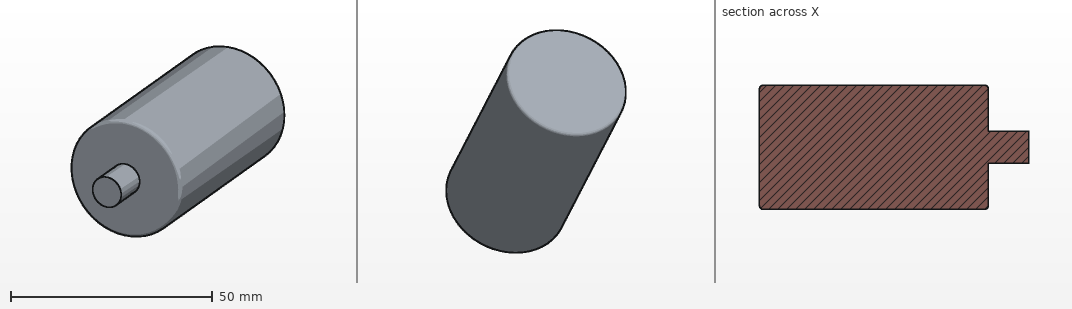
import cadquery as cq

body_diameter = 31.0
body_length = 57.0
edge_radius = 1.0
stud_diameter = 8.0
stud_length = 10.0


def make_body():
    """Cylinder from y = 0 to y = body_length with both rims rounded."""
    cylinder = cq.Workplane("XZ").circle(body_diameter / 2).extrude(-body_length)
    return cylinder.faces("<Y or >Y").edges().fillet(edge_radius)


def make_stud():
    """Plain cylinder projecting from the body's end face toward -Y."""
    return cq.Workplane("XZ").circle(stud_diameter / 2).extrude(stud_length)


result = make_body().union(make_stud())